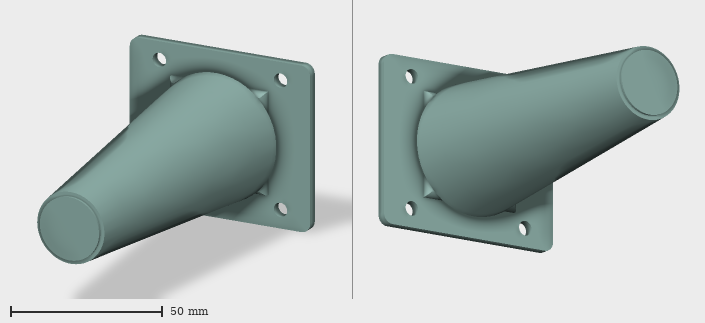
import cadquery as cq
import math

PLATE_WIDTH = 67.0
PLATE_HEIGHT = 58.0
PLATE_THICKNESS = 3.3
PLATE_CORNER_RADIUS = 3.3

HOLE_DIAMETER = 5.0
HOLE_SPACING = 45.0

PAD_SIZE = 36.0
PAD_HEIGHT = 3.0
PAD_STRAIGHT_HEIGHT = 0.3
PAD_FLANK_RADIUS = 3.0

OVERALL_LENGTH = 110.0
LEG_BASE_DIAMETER = 45.0
LEG_TIP_DIAMETER = 25.0
FOOT_DIAMETER = 22.0
FOOT_HEIGHT = 1.0

PLATE_FRONT_Y = -PLATE_THICKNESS
PAD_FRONT_Y = PLATE_FRONT_Y - PAD_HEIGHT
FOOT_END_Y = -OVERALL_LENGTH
LEG_TIP_Y = FOOT_END_Y + FOOT_HEIGHT


def pad_prism(plane_name):
    """Rounded-flank pad section, extruded over the pad size along the plane normal.

    The section plane must have Y as its second direction.
    """
    half = PAD_SIZE / 2
    arc_start_y = PLATE_FRONT_Y - PAD_STRAIGHT_HEIGHT
    arc_height = PAD_HEIGHT - PAD_STRAIGHT_HEIGHT
    arc_angle = math.asin(arc_height / PAD_FLANK_RADIUS)

    def flank_point(angle):
        inset = PAD_FLANK_RADIUS * (1 - math.cos(angle))
        return half - inset, arc_start_y - PAD_FLANK_RADIUS * math.sin(angle)

    mid_x, mid_y = flank_point(arc_angle / 2)
    end_x, end_y = flank_point(arc_angle)
    return (
        cq.Workplane(plane_name)
        .moveTo(-half, PLATE_FRONT_Y)
        .lineTo(half, PLATE_FRONT_Y)
        .lineTo(half, arc_start_y)
        .threePointArc((mid_x, mid_y), (end_x, end_y))
        .lineTo(-end_x, end_y)
        .threePointArc((-mid_x, mid_y), (-half, arc_start_y))
        .close()
        .extrude(half, both=True)
    )


def make_pad():
    """Pad whose four rounded flanks meet in mitred corners."""
    return pad_prism("XY").intersect(pad_prism("ZY"))


def make_mounting_plate():
    """Plate with rounded corners, four through holes and the raised pad."""
    plate = (
        cq.Workplane("XZ")
        .rect(PLATE_WIDTH, PLATE_HEIGHT)
        .extrude(PLATE_THICKNESS)
        .edges("|Y")
        .fillet(PLATE_CORNER_RADIUS)
    )
    holes = (
        cq.Workplane("XZ")
        .rect(HOLE_SPACING, HOLE_SPACING, forConstruction=True)
        .vertices()
        .circle(HOLE_DIAMETER / 2)
        .extrude(PLATE_THICKNESS)
    )
    return plate.cut(holes).union(make_pad())


def make_leg():
    """Straight taper from pad to tip, then the stepped-in foot, turned about Y."""
    return (
        cq.Workplane("XY")
        .moveTo(0, PAD_FRONT_Y)
        .lineTo(-LEG_BASE_DIAMETER / 2, PAD_FRONT_Y)
        .lineTo(-LEG_TIP_DIAMETER / 2, LEG_TIP_Y)
        .lineTo(-FOOT_DIAMETER / 2, LEG_TIP_Y)
        .lineTo(-FOOT_DIAMETER / 2, FOOT_END_Y)
        .lineTo(0, FOOT_END_Y)
        .close()
        .revolve(360, (0, 0, 0), (0, 1, 0))
    )


mounting_plate = make_mounting_plate()
leg = make_leg()

result = cq.Compound.makeCompound([mounting_plate.val(), leg.val()])